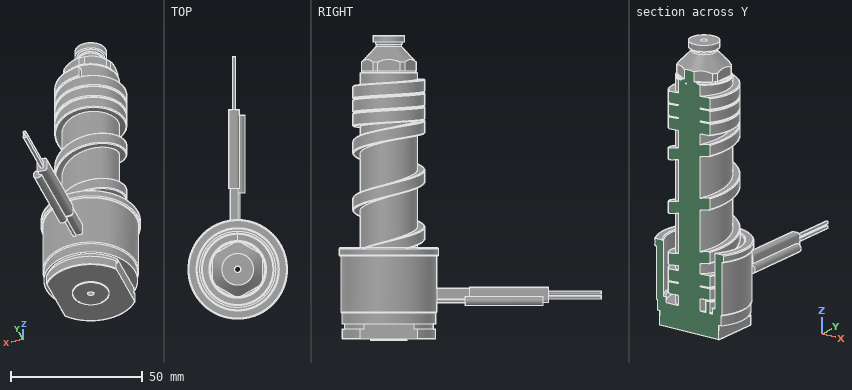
import cadquery as cq
import math

total_height = 116.2
bore_radius = 1.2
barrel_radius = 22.0 / 2
barrel_top = 102.1
barrel_chamfer = 0.29
collar_radius = 10.3
nozzle_bottom = 102.7
hex_across_flats = 19.0
hex_corner_radius = 10.5
cone_bottom = 106.1
cone_top = 112.0
neck_radius = 4.9
neck_top = 112.7
tip_radius = 6.0
tip_bottom = 113.6
tip_root_radius = 5.2

cup_radius = 36.6 / 2
cup_bottom = 10.3
cup_bore_radius = 15.5
ledge_radius = 14.5
ledge_top = 12.7
flange_radius = 38.0 / 2
flange_bottom = 32.1
flange_top = 35.3
rim_chamfer = 0.41
ring_radius = 17.9
ring_bottom = 6.3
groove_radius = 17.0
nut_radius = 35.7 / 2
nut_top = 4.3
nut_bottom = 0.5
nut_chamfer = 0.2
nut_across_flats = 28.1
pad_radius = 7.0

coil_radius = 27.5 / 2
coil_height = 5.0
coil_chamfer = 0.3
coil_embed = 0.3
coil_end_z = 97.1
coil_end_angle = 90.0
close_pitch = 5.2
open_pitch = 21.7
upper_close_sweep = 1057.0
open_sweep = 712.0
blend_sweep = 176.0
lower_close_sweep = 900.0
coil_sweep = upper_close_sweep + open_sweep + lower_close_sweep + 2 * blend_sweep
points_per_turn = 24

cable_start = 16.8
lead_x = -1.4
lead_z = 17.3
sheath_width = 2.9
sheath_height = 5.2
sheath_fillet = 0.5
sleeve_width = 4.1
sleeve_height = 5.9
sleeve_fillet = 1.0
sleeve_start = 30.8
sleeve_end = 60.9
wire_diameter = 1.3
wire_spacing = 1.9
wire_embed = 1.2
overall_depth = 100.0
wire_end = overall_depth - flange_radius
sensor_x = 0.2
sensor_z = 15.0
sensor_cable_radius = 0.7
sensor_sleeve_x = 1.0
sensor_sleeve_radius = 1.7
sensor_sleeve_start = 29.0
sensor_sleeve_end = 58.8


def revolve(profile):
    """Turn a closed (radius, z) outline around the Z axis."""
    return cq.Workplane("XZ").polyline(profile).close().revolve(360, (0, 0), (0, 1))


def cylinder(radius, bottom, top):
    return cq.Workplane("XY").workplane(offset=bottom).circle(radius).extrude(top - bottom)


def make_spindle():
    nozzle = revolve([
        (0, nozzle_bottom),
        (hex_corner_radius, nozzle_bottom),
        (hex_corner_radius, cone_bottom),
        (neck_radius, cone_top),
        (neck_radius, neck_top),
        (tip_root_radius, tip_bottom),
        (tip_radius, tip_bottom),
        (tip_radius, total_height),
        (0, total_height),
    ])
    hexagon = (
        cq.Workplane("XY").workplane(offset=nozzle_bottom)
        .polygon(6, hex_across_flats / math.cos(math.pi / 6))
        .extrude(total_height - nozzle_bottom)
        .rotate((0, 0, 0), (0, 0, 1), 30)
    )
    barrel = cylinder(barrel_radius, ring_bottom, barrel_top).faces(">Z").chamfer(barrel_chamfer)
    collar = cylinder(collar_radius, barrel_top, nozzle_bottom)
    return barrel.union(collar).union(nozzle.intersect(hexagon))


def make_cup():
    flange_edge = flange_radius - rim_chamfer
    return revolve([
        (0, ring_bottom),
        (ring_radius, ring_bottom),
        (ring_radius, cup_bottom),
        (cup_radius, cup_bottom + rim_chamfer),
        (cup_radius, flange_bottom),
        (flange_edge, flange_bottom),
        (flange_radius, flange_bottom + rim_chamfer),
        (flange_radius, flange_top - rim_chamfer),
        (flange_edge, flange_top),
        (cup_bore_radius + rim_chamfer, flange_top),
        (cup_bore_radius, flange_top - rim_chamfer),
        (cup_bore_radius, ledge_top),
        (ledge_radius, ledge_top),
        (ledge_radius, cup_bottom),
        (0, cup_bottom),
    ])


def make_base_nut():
    nut = revolve([
        (0, nut_bottom),
        (nut_radius - nut_chamfer, nut_bottom),
        (nut_radius, nut_bottom + nut_chamfer),
        (nut_radius, nut_top),
        (groove_radius, nut_top),
        (groove_radius, ring_bottom),
        (0, ring_bottom),
    ])
    flats = cq.Workplane("XY").box(
        nut_across_flats, 2 * nut_radius, ring_bottom, centered=(True, True, False)
    )
    return nut.intersect(flats).union(cylinder(pad_radius, 0, nut_bottom))


def ramp_area(sweep, start):
    """Area under a unit ramp that begins at `start` and levels off after `blend_sweep`."""
    blend = min(max(sweep - start, 0), blend_sweep)
    level = max(sweep - start - blend_sweep, 0)
    return blend ** 2 / (2 * blend_sweep) + level


def coil_drop(sweep):
    """Height lost after winding down by `sweep` degrees, with smooth changes of pitch."""
    opening = upper_close_sweep
    closing = opening + blend_sweep + open_sweep
    opened = ramp_area(sweep, opening) - ramp_area(sweep, closing)
    return (close_pitch * sweep + (open_pitch - close_pitch) * opened) / 360


def coil_point(radius, sweep, height):
    angle = math.radians(coil_end_angle - sweep)
    z = coil_end_z - coil_drop(sweep) + height
    return cq.Vector(radius * math.cos(angle), radius * math.sin(angle), z)


def make_coil():
    """Winding around the barrel: a solid bounded by strips ruled between neighbouring edge curves."""
    inner = barrel_radius - coil_embed
    half = coil_height / 2
    section = [
        (inner, -half),
        (coil_radius - coil_chamfer, -half),
        (coil_radius, -half + coil_chamfer),
        (coil_radius, half - coil_chamfer),
        (coil_radius - coil_chamfer, half),
        (inner, half),
    ]
    steps = round(coil_sweep / 360 * points_per_turn)
    sweeps = [coil_sweep * i / steps for i in range(steps + 1)]
    curves = [
        cq.Edge.makeSpline([coil_point(r, s, h) for s in sweeps]) for r, h in section
    ]
    faces = [
        cq.Face.makeRuledSurface(curves[i - 1], curves[i]) for i in range(len(curves))
    ]
    for sweep in (0, coil_sweep):
        corners = [coil_point(r, sweep, h) for r, h in section]
        faces.append(cq.Face.makeFromWires(cq.Wire.makePolygon(corners, close=True)))
    return cq.Workplane(obj=cq.Solid.makeSolid(cq.Shell.makeShell(faces)).fix())


def rod(x, z, radius, start, end):
    """Round bar along +Y."""
    return cq.Workplane("XZ", origin=(x, start, z)).circle(radius).extrude(start - end)


def flat_bar(width, height, fillet, start, end):
    """Flat bar along +Y, rounded lengthwise, centred on the lead cable."""
    return (
        cq.Workplane("XZ", origin=(lead_x, start, lead_z))
        .rect(width, height).extrude(start - end)
        .edges("|Y").fillet(fillet)
    )


def make_cables():
    cables = flat_bar(sheath_width, sheath_height, sheath_fillet, cable_start, sleeve_end)
    cables = cables.union(
        flat_bar(sleeve_width, sleeve_height, sleeve_fillet, sleeve_start, sleeve_end)
    )
    for side in (-1, 1):
        wire_z = lead_z + side * wire_spacing / 2
        wire = rod(lead_x, wire_z, wire_diameter / 2, sleeve_end - wire_embed, wire_end)
        cables = cables.union(wire)
    cables = cables.union(
        rod(sensor_x, sensor_z, sensor_cable_radius, cable_start, sensor_sleeve_end)
    )
    return cables.union(
        rod(sensor_sleeve_x, sensor_z, sensor_sleeve_radius, sensor_sleeve_start, sensor_sleeve_end)
    )


body = make_spindle().union(make_cup()).union(make_base_nut())
body = body.union(make_coil()).union(make_cables())
result = body.cut(cylinder(bore_radius, 0, total_height))